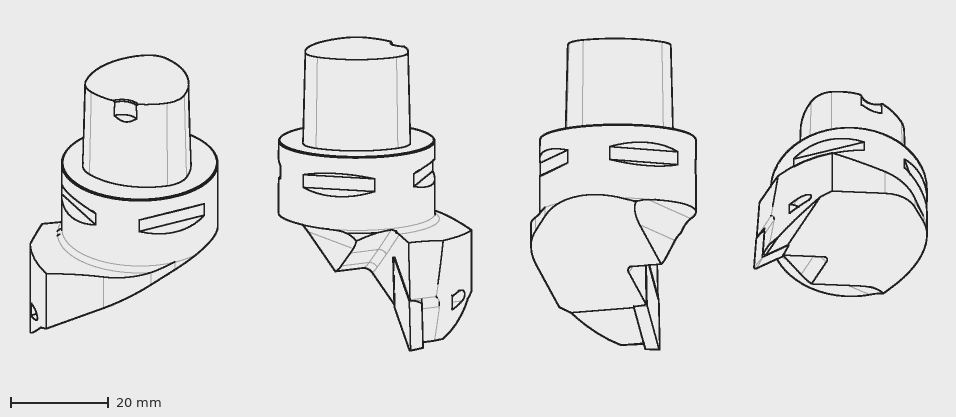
import cadquery as cq
import math


FAR = 35.4
OVERRUN = 0.6

SHANK_HEIGHT = 19.0
SHANK_APEX_RADIUS = 11.8
SHANK_FLAT_RADIUS = 10.4
SHANK_CORNER_RADIUS = 5.9
SHANK_TAPER = math.degrees(math.atan(1 / 40))
LOBE_ANGLES = (90, 210, 330)

NOTCH_RADIUS = 3.35
NOTCH_DEPTH = 3.35
NOTCH_INNER_Y = -8.8
NOTCH_CHAMFER = 0.3
NOTCH_TIP_SLOPE = 0.8

FLANGE_RADIUS = 16.0
FLANGE_HEIGHT = 15.35
FLANGE_CHAMFER = 0.25
SLOT_FLOOR_DISTANCE = 14.1
SLOT_FLOOR_HEIGHT = 2.65
SLOT_Z = -6.0
SLOT_FLANK_ANGLE = 30
SLOT_ANGLES = (45, 135, 225, 315)

SHOULDER_FRONT_Y = -19.0
SHOULDER_BLEND_X = -1.9
TOUCH_ANGLE = 314
NECK_FILLET = 1.2
CONE_ANGLE = 15
SIDE_RADIUS = 26.15
SIDE_CENTRE_X = 3.9

UNDERSIDE_EDGE_Z = -14.5
UNDERSIDE_ANGLE = 28.9

RAKE_Y = -0.2

WEB_RADIUS = 16.15
WEB_BACK_Y = 7.65
WEB_BACK_FILLET = 4.15
WEB_SIDE_FILLET = 1.35
WEB_ROOF_Z = -15.75
WEB_ROOF_TILT = 4
WEB_FACE_TOP = (-16.3, -15.35)
WEB_FACE_BEND = (-10.75, -20.7)
WEB_FACE_END = (-7.0, -24.15)
WEB_FOOT_MIDDLE = (-5.9, -25.1)
WEB_FOOT = (-3.85, -26.15)

TIP_X = -22.0
TIP_Z = -40.0
INSERT_EDGE = 11.0
INSERT_THICKNESS = 3.1
INSERT_NOSE_RADIUS = 0.3
INSERT_POINT_ANGLE = 35
INSERT_RELIEF_ANGLE = 5
LEAD_ANGLE = 3.0

TRAIL_INSET = 0.35
RECESS_TOP_Z = -29.3
RECESS_RUNOUT = 2.25
RECESS_DEPTH = 0.35
RUNOUT_MIDDLE_SHARE = 0.75
HOLDER_BOTTOM_Z = -38.6

ACCESS_DIAMETER = 2.5
ACCESS_FLOOR_Y = -11.15
ACCESS_X = -18.3
ACCESS_Z = -30.8
ACCESS_LENGTH = 5.9


def polar(radius, degrees):
    angle = math.radians(degrees)
    return cq.Vector(radius * math.cos(angle), radius * math.sin(angle))


def from_vertical(degrees):
    """Unit direction in the XZ plane, leaning from +Z toward +X."""
    angle = math.radians(degrees)
    return cq.Vector(math.sin(angle), math.cos(angle))


def make_shank():
    """Three small corner arcs joined tangentially by three large flank arcs."""
    corner_offset = SHANK_APEX_RADIUS - SHANK_CORNER_RADIUS
    flat_step = SHANK_FLAT_RADIUS - SHANK_CORNER_RADIUS
    flank_offset = (corner_offset**2 - flat_step**2) / (2 * flat_step - corner_offset)
    flank_radius = SHANK_FLAT_RADIUS + flank_offset

    def tangent_point(lobe, side):
        corner_centre = polar(corner_offset, lobe)
        flank_centre = polar(flank_offset, lobe - 120 * side)
        return flank_centre + (corner_centre - flank_centre).normalized() * flank_radius

    outline = cq.Workplane("XY").moveTo(*tangent_point(LOBE_ANGLES[0], -1).toTuple()[:2])
    for lobe in LOBE_ANGLES:
        corner_end = tangent_point(lobe, 1)
        outline = outline.threePointArc(polar(SHANK_APEX_RADIUS, lobe), corner_end)
        flank_end = tangent_point(lobe + 120, -1)
        outline = outline.threePointArc(polar(SHANK_FLAT_RADIUS, lobe + 60), flank_end)
    return outline.close().extrude(SHANK_HEIGHT, taper=SHANK_TAPER).cut(make_notch())


def make_notch():
    """Round notch with a pointed bottom and a chamfered mouth."""
    bottom = SHANK_HEIGHT - NOTCH_DEPTH
    profile = [
        (0, bottom - NOTCH_RADIUS * NOTCH_TIP_SLOPE),
        (NOTCH_RADIUS, bottom),
        (NOTCH_RADIUS, SHANK_HEIGHT - NOTCH_CHAMFER),
        (NOTCH_RADIUS + NOTCH_CHAMFER, SHANK_HEIGHT),
        (0, SHANK_HEIGHT),
    ]
    notch = cq.Workplane("XZ").polyline(profile).close().revolve(360, (0, 0), (0, 1))
    return notch.translate((0, NOTCH_INNER_Y - NOTCH_RADIUS, 0))


def make_flange():
    flange = cq.Workplane("XY").circle(FLANGE_RADIUS).extrude(-FLANGE_HEIGHT)
    flange = flange.faces(">Z").chamfer(FLANGE_CHAMFER)
    for angle in SLOT_ANGLES:
        flange = flange.cut(make_gripper_slot().rotate((0, 0, 0), (0, 0, 1), angle))
    return flange


def make_gripper_slot():
    reach = FLANGE_RADIUS + OVERRUN
    floor_half = SLOT_FLOOR_HEIGHT / 2
    mouth_half = floor_half + (reach - SLOT_FLOOR_DISTANCE) * math.tan(math.radians(SLOT_FLANK_ANGLE))
    profile = [
        (SLOT_FLOOR_DISTANCE, SLOT_Z - floor_half),
        (reach, SLOT_Z - mouth_half),
        (reach, SLOT_Z + mouth_half),
        (SLOT_FLOOR_DISTANCE, SLOT_Z + floor_half),
    ]
    return cq.Workplane("XZ").polyline(profile).close().extrude(FLANGE_RADIUS, both=True)


def make_turned_envelope():
    """Neck fillet running into the conical shoulder top."""
    cone = math.radians(CONE_ANGLE)
    fillet_centre_r = FLANGE_RADIUS + NECK_FILLET
    half_turn = (math.pi / 2 - cone) / 2
    fillet_middle = (
        fillet_centre_r - NECK_FILLET * math.cos(half_turn),
        -FLANGE_HEIGHT - NECK_FILLET * math.sin(half_turn),
    )
    cone_r = fillet_centre_r - NECK_FILLET * math.sin(cone)
    cone_z = -FLANGE_HEIGHT - NECK_FILLET * math.cos(cone)
    profile = (
        cq.Workplane("XZ")
        .moveTo(0, -FLANGE_HEIGHT)
        .lineTo(FLANGE_RADIUS, -FLANGE_HEIGHT)
        .threePointArc(fillet_middle, (cone_r, cone_z))
        .lineTo(FAR, cone_z - (FAR - cone_r) * math.tan(cone))
        .lineTo(FAR, -2 * FAR)
        .lineTo(0, -2 * FAR)
        .close()
    )
    return profile.revolve(360, (0, 0), (0, 1))


def make_shoulder_block():
    """Front half of the shoulder: curved side, flat front, blend to a line tangent to the flange."""
    side_centre = cq.Vector(SIDE_CENTRE_X, 0)
    side_end_angle = 180 - math.degrees(math.asin(SHOULDER_FRONT_Y / SIDE_RADIUS))
    side_middle = side_centre + polar(SIDE_RADIUS, (180 + side_end_angle) / 2)
    side_end = side_centre + polar(SIDE_RADIUS, side_end_angle)
    touch = polar(1, TOUCH_ANGLE)
    blend_radius = (FLANGE_RADIUS - SHOULDER_BLEND_X * touch.x - SHOULDER_FRONT_Y * touch.y) / (1 + touch.y)
    blend_centre = cq.Vector(SHOULDER_BLEND_X, SHOULDER_FRONT_Y + blend_radius)
    blend_middle = blend_centre + polar(blend_radius, (270 + TOUCH_ANGLE) / 2)
    blend_end = blend_centre + polar(blend_radius, TOUCH_ANGLE)
    outline = (
        cq.Workplane("XY")
        .moveTo(SIDE_CENTRE_X - SIDE_RADIUS, 0)
        .threePointArc(side_middle, side_end)
        .lineTo(SHOULDER_BLEND_X, SHOULDER_FRONT_Y)
        .threePointArc(blend_middle, blend_end)
        .lineTo(*polar(FLANGE_RADIUS, TOUCH_ANGLE).toTuple()[:2])
        .threePointArc(polar(FLANGE_RADIUS, (TOUCH_ANGLE + 360) / 2), (FLANGE_RADIUS, 0))
        .close()
    )
    return outline.extrude(HOLDER_BOTTOM_Z)


def make_web_block():
    """Back half of the shoulder, a half cylinder under the flange."""
    outline = (
        cq.Workplane("XY", origin=(0, 0, -FLANGE_HEIGHT))
        .moveTo(WEB_RADIUS, 0)
        .threePointArc((0, WEB_RADIUS), (-WEB_RADIUS, 0))
        .close()
    )
    return outline.extrude(HOLDER_BOTTOM_Z + FLANGE_HEIGHT)


def make_rake_clearance():
    """Space in front of the rake face, ending at the sloping face of the web."""
    clearance = (
        cq.Workplane("XZ", origin=(0, RAKE_Y, 0))
        .moveTo(*WEB_FACE_TOP)
        .lineTo(*WEB_FACE_BEND)
        .lineTo(*WEB_FACE_END)
        .threePointArc(WEB_FOOT_MIDDLE, WEB_FOOT)
        .lineTo(WEB_FOOT[0], -2 * FAR)
        .lineTo(-FAR, -2 * FAR)
        .lineTo(-FAR, WEB_FACE_TOP[1])
        .close()
        .extrude(-FAR)
    )
    web_face_edges = cq.selectors.BoxSelector(
        (WEB_FACE_TOP[0], RAKE_Y - OVERRUN, WEB_FOOT[1]),
        (WEB_FOOT[0], RAKE_Y + OVERRUN, WEB_FACE_TOP[1]),
    )
    return clearance.edges(web_face_edges).fillet(WEB_SIDE_FILLET)


def make_back_clearance():
    """Space behind the web, with a slightly tilted roof under the flange."""
    roof_rise = (FAR - WEB_BACK_Y) * math.tan(math.radians(WEB_ROOF_TILT))
    profile = [
        (WEB_BACK_Y, -2 * FAR),
        (WEB_BACK_Y, WEB_ROOF_Z),
        (FAR, WEB_ROOF_Z + roof_rise),
        (FAR, -2 * FAR),
    ]
    space = cq.Workplane("YZ").polyline(profile).close().extrude(FAR, both=True)
    return space.edges("|X").edges("<Y").edges(">Z").fillet(WEB_BACK_FILLET)


def insert_corner():
    """Sharp corner of the rhombus, beyond the rounded nose that touches TIP_X and TIP_Z."""
    nose_centre = cq.Vector(TIP_X + INSERT_NOSE_RADIUS, TIP_Z + INSERT_NOSE_RADIUS)
    half_point = INSERT_POINT_ANGLE / 2
    overshoot = INSERT_NOSE_RADIUS / math.sin(math.radians(half_point))
    return nose_centre - from_vertical(LEAD_ANGLE + half_point) * overshoot


def make_insert():
    corner = insert_corner()
    lead_edge = from_vertical(LEAD_ANGLE) * INSERT_EDGE
    trail_edge = from_vertical(LEAD_ANGLE + INSERT_POINT_ANGLE) * INSERT_EDGE
    points = [corner, corner + lead_edge, corner + lead_edge + trail_edge, corner + trail_edge, corner]
    rhombus = cq.Sketch().polygon(points).vertices().fillet(INSERT_NOSE_RADIUS)
    return cq.Workplane("XZ").placeSketch(rhombus).extrude(INSERT_THICKNESS, taper=INSERT_RELIEF_ANGLE)


def make_lead_flank_cut():
    """Flat on the lead side, parallel to the insert edge, stepping deeper beside the insert."""
    along = from_vertical(LEAD_ANGLE)
    inward = from_vertical(LEAD_ANGLE + 90)
    corner = insert_corner()
    top_run = (RECESS_TOP_Z - corner.y) / along.y
    recess = inward * RECESS_DEPTH
    runout_middle = corner + along * (top_run - RECESS_RUNOUT / 2) + recess * RUNOUT_MIDDLE_SHARE
    return (
        cq.Workplane("XZ")
        .moveTo(*(corner + along * FAR).toTuple()[:2])
        .lineTo(*(corner + along * top_run).toTuple()[:2])
        .threePointArc(runout_middle, corner + along * (top_run - RECESS_RUNOUT) + recess)
        .lineTo(*(corner - along * FAR + recess).toTuple()[:2])
        .lineTo(-2 * FAR, -2 * FAR)
        .lineTo(-2 * FAR, 0)
        .close()
        .extrude(FAR, both=True)
    )


def make_underside_cut():
    """Slanted underside, turning steeply down along the trailing edge of the insert."""
    slope = math.tan(math.radians(UNDERSIDE_ANGLE))
    along = from_vertical(LEAD_ANGLE + INSERT_POINT_ANGLE)
    inward = from_vertical(LEAD_ANGLE + INSERT_POINT_ANGLE - 90)
    edge_point = insert_corner() + inward * TRAIL_INSET
    underside_z = UNDERSIDE_EDGE_Z + (edge_point.x - FLANGE_RADIUS) * slope
    bend = edge_point + along * ((underside_z - edge_point.y) / (along.y - along.x * slope))
    profile = [
        bend,
        cq.Vector(FAR, UNDERSIDE_EDGE_Z + (FAR - FLANGE_RADIUS) * slope),
        cq.Vector(FAR, -2 * FAR),
        bend - along * FAR,
    ]
    return cq.Workplane("XZ").polyline(profile).close().extrude(FAR, both=True)


def make_access_slot():
    """Round-ended slot opening through the curved side, parallel to the underside."""
    return (
        cq.Workplane("XZ", origin=(ACCESS_X, ACCESS_FLOOR_Y, ACCESS_Z))
        .transformed(rotate=(0, 0, UNDERSIDE_ANGLE))
        .center(-ACCESS_LENGTH / 2, 0)
        .slot2D(ACCESS_LENGTH + ACCESS_DIAMETER, ACCESS_DIAMETER)
        .extrude(FAR)
    )


def make_holder():
    shoulder = make_shoulder_block().cut(make_lead_flank_cut())
    shoulder = shoulder.cut(make_access_slot())
    shoulder = shoulder.union(make_web_block()).cut(make_rake_clearance()).intersect(make_turned_envelope())
    holder = make_flange().union(shoulder)
    holder = holder.cut(make_back_clearance()).cut(make_underside_cut())
    return holder.union(make_shank())


insert = make_insert()
holder = make_holder().cut(insert).solids()

result = cq.Compound.makeCompound([holder.val(), insert.val()])